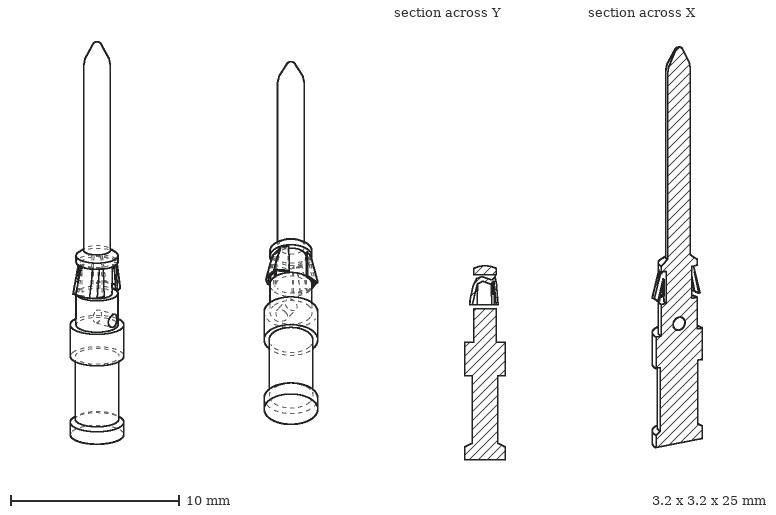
import cadquery as cq
import math

total_length = 25.0
foot_height = 0.8
foot_chamfer_top = 1.0
collar_bottom = 5.0
collar_top = 7.0
barrel_top = 9.0
tine_bottom = 9.22
flange_bottom = 11.0
flange_edge = 11.4
flange_top = 11.75
nose_bottom = 23.5
nose_middle = 23.9
nose_top = 24.8

collar_radius = 1.6
crimp_radius = 1.3
barrel_radius = 1.25
neck_radius = 0.9
pin_radius = 0.8
nose_middle_radius = 0.72
nose_top_radius = 0.28

hole_diameter = 0.8
hole_height = 7.55

tine_base_y = 0.62
tine_hollow_scale = 0.85
tine_top_corners = [
    (-0.9, tine_base_y),
    (-0.72, 0.85),
    (-0.6, 1.02),
    (-0.4, 0.98),
    (0.2, 1.02),
    (0.5, 1.0),
    (0.85, 0.82),
    (0.98, tine_base_y),
]
tine_bottom_corners = [
    (-0.98, tine_base_y),
    (-0.75, 1.15),
    (-0.65, 1.48),
    (-0.48, 1.42),
    (0.15, 1.48),
    (0.55, 1.4),
    (0.9, 1.1),
    (1.05, tine_base_y),
]


def turned_body():
    """Revolve the half profile, drawn as (radius, height), about the Z axis."""
    dome_rise = total_length - nose_top
    sphere_radius = (nose_top_radius**2 + dome_rise**2) / (2 * dome_rise)
    dome_mid_radius = nose_top_radius / 2
    dome_mid_height = total_length - sphere_radius + math.sqrt(sphere_radius**2 - dome_mid_radius**2)
    profile = (
        cq.Workplane("XZ")
        .lineTo(collar_radius, 0)
        .lineTo(collar_radius, foot_height)
        .lineTo(crimp_radius, foot_chamfer_top)
        .lineTo(crimp_radius, collar_bottom)
        .lineTo(collar_radius, collar_bottom)
        .lineTo(collar_radius, collar_top)
        .lineTo(barrel_radius, collar_top)
        .lineTo(barrel_radius, barrel_top)
        .lineTo(neck_radius, barrel_top)
        .lineTo(neck_radius, flange_bottom)
        .lineTo(barrel_radius, flange_bottom)
        .lineTo(barrel_radius, flange_edge)
        .lineTo(pin_radius, flange_top)
        .lineTo(pin_radius, nose_bottom)
        .lineTo(nose_middle_radius, nose_middle)
        .lineTo(nose_top_radius, nose_top)
        .threePointArc((dome_mid_radius, dome_mid_height), (0, total_length))
        .close()
    )
    return profile.revolve(360, (0, 0), (0, 1))


def tine_loft(scale):
    """Solid between the two tine outlines, scaled about a point on their straight side."""

    def scaled(corners):
        return [(x * scale, tine_base_y + (y - tine_base_y) * scale) for x, y in corners]

    return (
        cq.Workplane("XY", origin=(0, 0, tine_bottom))
        .polyline(scaled(tine_bottom_corners)).close()
        .workplane(offset=flange_bottom - tine_bottom)
        .polyline(scaled(tine_top_corners)).close()
        .loft(ruled=True)
    )


def tine():
    """Thin faceted leaf on the +Y side, hanging from the flange and flaring downwards."""
    return tine_loft(1.0).cut(tine_loft(tine_hollow_scale))


def inspection_hole():
    """Radial hole from the +X side to the axis."""
    return (
        cq.Workplane("YZ")
        .center(0, hole_height)
        .circle(hole_diameter / 2)
        .extrude(collar_radius)
    )


back_tine = tine()
front_tine = back_tine.mirror("XZ")
result = turned_body().cut(inspection_hole()).union(back_tine).union(front_tine)